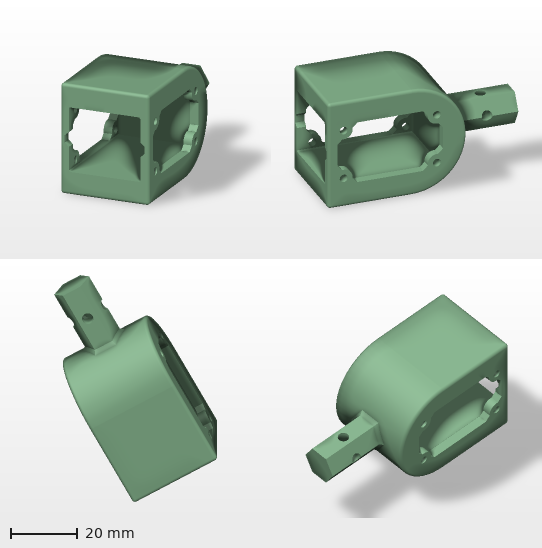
import cadquery as cq

body_width = 29.0
body_height = 35.0
straight_length = 27.0
body_fillet = 1.0

total_length = 64.5
hex_corner_diameter = 12.0
shaft_chamfer = 1.0
pin_hole_diameter = 3.4
pin_hole_from_end = 10.0

cavity_width = 23.5
cavity_height = 20.5
cavity_depth = 37.35
cavity_chamfer = 0.4

window_center_y = 20.0
window_length = 34.0
window_height = 20.0
screw_spacing_y = 30.0
screw_spacing_z = 16.0
screw_hole_diameter = 2.5
ear_diameter = 5.8
window_corner_chamfer = 6.45

notch_depth = 1.35
notch_inner_height = 4.7
notch_outer_height = 2.3

arc_radius = body_height / 2
body_length = straight_length + arc_radius
half_cavity_width = cavity_width / 2


def make_body():
    profile = (
        cq.Workplane("YZ")
        .moveTo(0, -arc_radius)
        .lineTo(straight_length, -arc_radius)
        .threePointArc((body_length, 0), (straight_length, arc_radius))
        .lineTo(0, arc_radius)
        .close()
    )
    body = profile.extrude(body_width / 2, both=True)
    return body.faces("<X or >X or <Y").edges().fillet(body_fillet)


def make_shaft():
    shaft_start = straight_length
    return (
        cq.Workplane("XZ", origin=(0, shaft_start, 0))
        .polygon(6, hex_corner_diameter)
        .extrude(shaft_start - total_length)
    )


def chamfer_shaft_root(solid):
    margin = 0.05
    half_root = hex_corner_diameter / 2 + margin
    root_zone = cq.selectors.BoxSelector(
        (-half_root, straight_length, -half_root),
        (half_root, body_length + margin, half_root),
        boundingbox=True,
    )
    return solid.edges(root_zone).chamfer(shaft_chamfer)


def make_pin_hole(plane):
    return (
        cq.Workplane(plane, origin=(0, total_length - pin_hole_from_end, 0))
        .circle(pin_hole_diameter / 2)
        .extrude(hex_corner_diameter, both=True)
    )


def make_cavity():
    cavity = cq.Workplane("XY").box(
        cavity_width, cavity_depth, cavity_height, centered=(True, False, True)
    )
    return cavity.faces("<X or >X").edges("|Y or >Y").chamfer(cavity_chamfer)


def at_screws():
    return (
        cq.Workplane("YZ", origin=(0, window_center_y, 0))
        .rect(screw_spacing_y, screw_spacing_z, forConstruction=True)
        .vertices()
    )


def make_window():
    window = (
        cq.Workplane("YZ", origin=(0, window_center_y, 0))
        .rect(window_length, window_height)
        .extrude(body_width, both=True)
        .edges("|X")
        .chamfer(window_corner_chamfer)
    )
    ears = at_screws().circle(ear_diameter / 2).extrude(body_width, both=True)
    return window.cut(ears)


def make_screw_holes():
    return at_screws().circle(screw_hole_diameter / 2).extrude(body_width, both=True)


def make_notches():
    notch_x = half_cavity_width + notch_depth
    return (
        cq.Workplane("XZ")
        .moveTo(-notch_x, -notch_outer_height / 2)
        .lineTo(-half_cavity_width, -notch_inner_height / 2)
        .lineTo(half_cavity_width, -notch_inner_height / 2)
        .lineTo(notch_x, -notch_outer_height / 2)
        .lineTo(notch_x, notch_outer_height / 2)
        .lineTo(half_cavity_width, notch_inner_height / 2)
        .lineTo(-half_cavity_width, notch_inner_height / 2)
        .lineTo(-notch_x, notch_outer_height / 2)
        .close()
        .extrude(-window_center_y)
    )


result = chamfer_shaft_root(make_body().union(make_shaft()))
for plane_name in ("XY", "YZ"):
    result = result.cut(make_pin_hole(plane_name))
result = result.cut(make_cavity())
result = result.cut(make_window())
result = result.cut(make_screw_holes())
result = result.cut(make_notches())